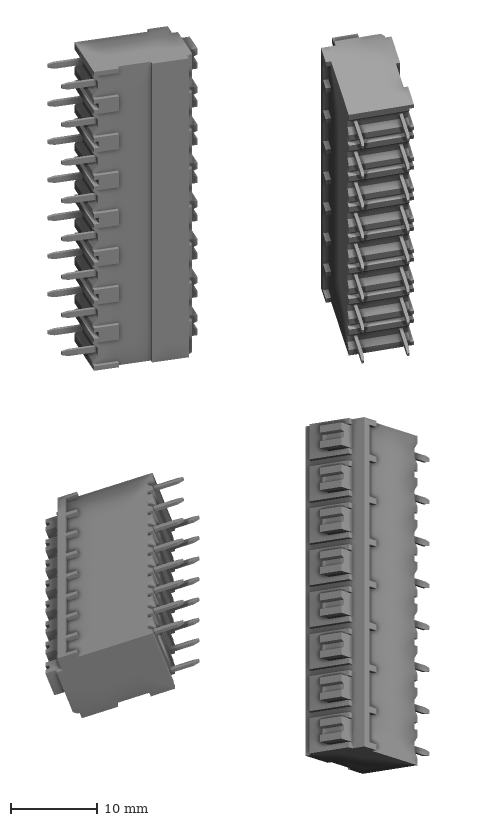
import cadquery as cq

LENGTH = 39.2
POLES = 8
END_MARGIN = 2.1
PITCH = (LENGTH - 2 * END_MARGIN) / (POLES - 1)

BODY_WIDTH = 7.75
BODY_DEPTH = 11.52
RIB_HEIGHT = 0.63
RIB_DEPTH = 1.0
TOOTH_DEPTH = 2.45
TOOTH_WIDTH = 0.7
DIVIDER_WIDTH = 0.82
SIDE_STEP = 0.5
RECESS_START = 3.0
RECESS_END = 7.05
CHANNEL_WIDTH = 3.05

STEP_HEIGHT = 0.7
STEP_LEFT = 1.1
STEP_RIGHT = 7.0
STEP_CHAMFER_X = 0.35
STEP_CHAMFER_Y = 0.47

TAB_LEFT = 1.18
TAB_WIDTH = 3.05
TAB_HEIGHT = 2.1
TAB_LENGTH = 2.65
TAB_CLEARANCE = 0.1
TAB_NOTCH_DEPTH = 0.5
TAB_NOTCH_MOUTH = 1.0
TAB_NOTCH_FLOOR = 0.63

GROOVE_DEPTH = 0.63
GROOVE_MOUTH = 2.45
GROOVE_FLOOR = 0.98

PIN_LEFTS = (0.75, 6.15)
PIN_THICKNESS = 0.4
PIN_WIDTH = 0.75
PIN_REACH = 3.5
PIN_TIP_LENGTH = 0.75
PIN_TIP_WIDTH = 0.45
PIN_TIP_THICKNESS = 0.27
PIN_EMBED = 0.4

POLE_CENTRES = [LENGTH / 2 - END_MARGIN - i * PITCH for i in range(POLES)]
DIVIDER_CENTRES = [z - PITCH / 2 for z in POLE_CENTRES[:-1]]


def box(x_range, y_range, z_range):
    """Axis-aligned box given by its lower and upper limits."""
    size = [high - low for low, high in (x_range, y_range, z_range)]
    corner = (x_range[0], y_range[0], z_range[0])
    return cq.Workplane("XY").box(*size, centered=False).translate(corner)


def span(centre, width):
    """Lower and upper limit of a width centred on a position."""
    return centre - width / 2, centre + width / 2


def extrude_across(points, x_range):
    """Extrude a (Y, Z) outline along X between two limits."""
    start, end = x_range
    return cq.Workplane("YZ").workplane(offset=start).polyline(points).close().extrude(end - start)


def housing():
    """Plain block with the raised back step and the recess along the +X face."""
    back = BODY_DEPTH + STEP_HEIGHT
    outline = [
        (0, 0),
        (BODY_WIDTH, 0),
        (BODY_WIDTH, RECESS_START),
        (BODY_WIDTH - SIDE_STEP, RECESS_START),
        (BODY_WIDTH - SIDE_STEP, RECESS_END),
        (BODY_WIDTH, RECESS_END),
        (BODY_WIDTH, BODY_DEPTH),
        (STEP_RIGHT, BODY_DEPTH),
        (STEP_RIGHT, back - STEP_CHAMFER_Y),
        (STEP_RIGHT - STEP_CHAMFER_X, back),
        (STEP_LEFT, back),
        (STEP_LEFT, BODY_DEPTH),
        (0, BODY_DEPTH),
    ]
    base = cq.Workplane("XY").workplane(offset=-LENGTH / 2)
    return base.polyline(outline).close().extrude(LENGTH)


def side_rib():
    """Rib along the back edge of the -X face, with a tooth at every divider and both ends."""
    x_range = (-RIB_HEIGHT, 0)
    tooth_range = (BODY_DEPTH - TOOTH_DEPTH, BODY_DEPTH)
    half = LENGTH / 2
    rib = box(x_range, (BODY_DEPTH - RIB_DEPTH, BODY_DEPTH), (-half, half))
    rib = rib.union(box(x_range, tooth_range, (half - TOOTH_WIDTH, half)))
    rib = rib.union(box(x_range, tooth_range, (-half, TOOTH_WIDTH - half)))
    for z in DIVIDER_CENTRES:
        rib = rib.union(box(x_range, tooth_range, span(z, TOOTH_WIDTH)))
    return rib


def divider_slots(z):
    """Slots that part neighbouring poles on the front face and on the back step."""
    z_range = span(z, DIVIDER_WIDTH)
    front = box((0, BODY_WIDTH), (0, GROOVE_DEPTH), z_range)
    back = box((0, BODY_WIDTH), (BODY_DEPTH, BODY_DEPTH + STEP_HEIGHT), z_range)
    return front.union(back)


def pole_cuts(z):
    """Flared pin groove, +X channel and tab window of one pole."""
    groove = extrude_across(
        [
            (0, z - GROOVE_MOUTH / 2),
            (GROOVE_DEPTH, z - GROOVE_FLOOR / 2),
            (GROOVE_DEPTH, z + GROOVE_FLOOR / 2),
            (0, z + GROOVE_MOUTH / 2),
        ],
        (0, BODY_WIDTH),
    )
    channel = box((BODY_WIDTH - SIDE_STEP, BODY_WIDTH), (0, RECESS_START), span(z, CHANNEL_WIDTH))
    window = box(
        (STEP_LEFT, TAB_LEFT + TAB_WIDTH + TAB_CLEARANCE),
        (BODY_DEPTH, BODY_DEPTH + STEP_HEIGHT),
        span(z, TAB_LENGTH + 2 * TAB_CLEARANCE),
    )
    return groove.union(channel).union(window)


def tab(z):
    """Actuator tab with a flared notch in its outer end."""
    end = BODY_DEPTH + TAB_HEIGHT
    bottom, top = span(z, TAB_LENGTH)
    outline = [
        (BODY_DEPTH, bottom),
        (end, bottom),
        (end, z - TAB_NOTCH_MOUTH / 2),
        (end - TAB_NOTCH_DEPTH, z - TAB_NOTCH_FLOOR / 2),
        (end - TAB_NOTCH_DEPTH, z + TAB_NOTCH_FLOOR / 2),
        (end, z + TAB_NOTCH_MOUTH / 2),
        (end, top),
        (BODY_DEPTH, top),
    ]
    return extrude_across(outline, (TAB_LEFT, TAB_LEFT + TAB_WIDTH))


def pin(left, z):
    """Flat solder pin whose tip narrows along Z and, on its +X face only, along X."""
    shoulder = PIN_TIP_LENGTH - PIN_REACH
    shank = box((left, left + PIN_THICKNESS), (shoulder, GROOVE_DEPTH + PIN_EMBED), span(z, PIN_WIDTH))
    tip = (
        cq.Workplane("XZ", origin=(left + PIN_THICKNESS / 2, shoulder, z))
        .rect(PIN_THICKNESS, PIN_WIDTH)
        .workplane(offset=PIN_TIP_LENGTH)
        .center((PIN_TIP_THICKNESS - PIN_THICKNESS) / 2, 0)
        .rect(PIN_TIP_THICKNESS, PIN_TIP_WIDTH)
        .loft()
    )
    return shank.union(tip)


result = housing().union(side_rib())
for divider_z in DIVIDER_CENTRES:
    result = result.cut(divider_slots(divider_z))
for pole_z in POLE_CENTRES:
    result = result.cut(pole_cuts(pole_z)).union(tab(pole_z))
    for pin_left in PIN_LEFTS:
        result = result.union(pin(pin_left, pole_z))